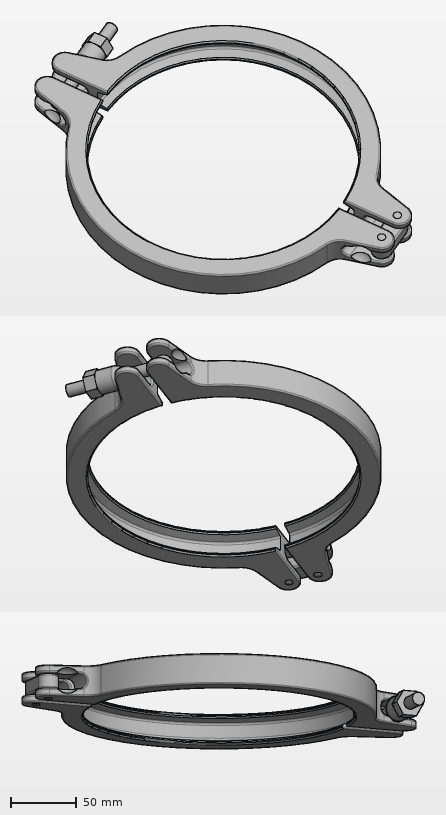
import cadquery as cq
import math


height = 24.0
outer_radius = 120.5
bore_radius = 104.0
gap = 7.5
gap_face_y = gap / 2
edge_round = 1.2

groove_radius = 113.0
groove_mouth_half_height = 9.0
groove_floor_half_height = 6.5
groove_floor_round = 2.0

lug_tip_x = 157.0
lug_tip_radius = 9.6
lug_slope = math.radians(15)
lug_root_radius = 15.0
slot_height = 11.8
slot_end_x = 121.8
slot_edge_round = 1.5
cut_reach = 60.0

bolt_x = 137.1
rod_radius = 5.0
rod_end_y = 67.8
ball_radius = 8.0
nut_across_flats = 19.0
nut_far_y = 50.7
nut_near_y = 41.1
sleeve_radius = 9.6
nose_center_y = 27.7
nose_tip_y = 21.5
seat_radius = 10.3
nut_turn = 30

pin_x = 146.6
pin_y = 12.1
pin_radius = 3.2
pin_dome_height = 0.65
link_radius = 8.1
link_edge_round = 1.5

ball_center_y = -pin_y
seat_center_y = nose_center_y + seat_radius - sleeve_radius


def lug_outline():
    """Outline of the +X lug, with its root buried in the ring."""
    tip_center_x = lug_tip_x - lug_tip_radius
    tip_center_y = gap_face_y + lug_tip_radius
    slope_start_x = tip_center_x + lug_tip_radius * math.sin(lug_slope)
    slope_start_y = tip_center_y + lug_tip_radius * math.cos(lug_slope)
    root_x = groove_radius
    root_y = slope_start_y + (slope_start_x - root_x) * math.tan(lug_slope)
    return (
        cq.Workplane("XY")
        .moveTo(root_x, gap_face_y)
        .lineTo(tip_center_x, gap_face_y)
        .threePointArc((lug_tip_x, tip_center_y), (slope_start_x, slope_start_y))
        .lineTo(root_x, root_y)
        .close()
    )


def groove():
    """Ring-shaped cutter for the inner groove."""
    wall_slope = (groove_mouth_half_height - groove_floor_half_height) / (groove_radius - bore_radius)
    start_radius = bore_radius - edge_round
    start_half_height = groove_mouth_half_height + edge_round * wall_slope
    cutter = (
        cq.Workplane("XZ")
        .moveTo(start_radius, start_half_height)
        .lineTo(groove_radius, groove_floor_half_height)
        .lineTo(groove_radius, -groove_floor_half_height)
        .lineTo(start_radius, -start_half_height)
        .close()
        .revolve(360, (0, 0, 0), (0, 1, 0))
    )
    return cutter.edges(cq.selectors.RadiusNthSelector(-1)).fillet(groove_floor_round)


def half_plate():
    """Half ring with both lugs, its outline edges and groove lips rounded."""
    disc = cq.Workplane("XY").circle(outer_radius).extrude(height / 2, both=True)
    upper_side = cq.Workplane("XY").box(2 * lug_tip_x, lug_tip_x, height, centered=(True, False, True))
    plate = disc.intersect(upper_side.translate((0, gap_face_y, 0)))
    lug = lug_outline().extrude(height / 2, both=True)
    plate = plate.union(lug).union(lug.mirror("YZ"))
    root_zone = cq.selectors.BoxSelector(
        (-outer_radius, gap_face_y + lug_tip_radius, -height),
        (outer_radius, outer_radius / 2, height),
    )
    plate = plate.edges("|Z").edges(root_zone).fillet(lug_root_radius)
    plate = plate.cut(cq.Workplane("XY").circle(bore_radius).extrude(height / 2, both=True))
    plate = plate.cut(groove())
    plate = plate.faces("<Z or >Z").edges().fillet(edge_round)
    lip_reach = groove_mouth_half_height + edge_round / 2
    lip_zone = cq.selectors.BoxSelector((-bore_radius, 0, -lip_reach), (bore_radius, bore_radius, lip_reach))
    lips = plate.edges("%CIRCLE").edges(lip_zone).edges(cq.selectors.RadiusNthSelector(0))
    return lips.fillet(edge_round)


def lug_slot():
    """Cutter for the slot between the two cheeks of the +X lug, with a round end."""
    half_slot = slot_height / 2
    round_center_x = slot_end_x + half_slot
    open_end_x = lug_tip_x + half_slot
    return (
        cq.Workplane("XZ")
        .moveTo(open_end_x, half_slot)
        .lineTo(round_center_x, half_slot)
        .threePointArc((slot_end_x, 0), (round_center_x, -half_slot))
        .lineTo(open_end_x, -half_slot)
        .close()
        .extrude(-cut_reach)
    )


def nut_seat():
    """Cutter for the round seat in the sloped side of the +X lug, with a ball-shaped floor."""
    bore = cq.Workplane("XZ").circle(seat_radius).extrude(-cut_reach)
    seat = bore.union(cq.Workplane("XY").sphere(seat_radius))
    return seat.translate((bolt_x, seat_center_y, 0))


def clamp_half():
    """The +Y half, before any holes for the bolt or the hinge."""
    half = half_plate()
    slot = lug_slot()
    seat = nut_seat()
    half = half.cut(slot).cut(slot.mirror("YZ"))
    edge_reach = slot_height / 2 + edge_round / 2
    for near_x, far_x in ((slot_end_x, lug_tip_x), (-lug_tip_x, -slot_end_x)):
        slot_zone = cq.selectors.BoxSelector(
            (near_x - edge_round, 0, -edge_reach), (far_x + edge_round, outer_radius, edge_reach)
        )
        half = half.edges("not(|Y or |Z)").edges(slot_zone).fillet(slot_edge_round)
    return half.cut(seat).cut(seat.mirror("YZ"))


def hinge_pin():
    """Pin through both cheeks of a lug, with a shallow dome on each end."""
    half_length = height / 2
    dome_top = half_length + pin_dome_height
    dome_radius = (pin_radius**2 + pin_dome_height**2) / (2 * pin_dome_height)
    mid_r = pin_radius / 2
    mid_z = dome_top - dome_radius + math.sqrt(dome_radius**2 - mid_r**2)
    return (
        cq.Workplane("XZ")
        .moveTo(0, dome_top)
        .threePointArc((mid_r, mid_z), (pin_radius, half_length))
        .lineTo(pin_radius, -half_length)
        .threePointArc((mid_r, -mid_z), (0, -dome_top))
        .close()
        .revolve(360, (0, 0, 0), (0, 1, 0))
    )


def hinge_link():
    """Rounded link bar that fills the slots of both hinge lugs, with its two pins."""
    bar_length = 2 * (pin_y + link_radius)
    link = cq.Workplane("XY").slot2D(bar_length, 2 * link_radius, 90).extrude(slot_height / 2, both=True)
    link = link.faces("<Z or >Z").edges().fillet(link_edge_round)
    pin = hinge_pin()
    for y in (-pin_y, pin_y):
        link = link.union(pin.translate((0, y, 0)))
    return link.translate((pin_x, 0, 0))


def along_y(start_y):
    """XZ workplane at start_y; a negative extrusion runs toward +Y."""
    return cq.Workplane("XZ", origin=(0, start_y, 0))


def closing_bolt():
    """Bolt with a ball end in the -Y half and a sleeved nut seated in the +Y half."""
    rod = along_y(ball_center_y).circle(rod_radius).extrude(ball_center_y - rod_end_y)
    ball = cq.Workplane("XY").sphere(ball_radius).translate((0, ball_center_y, 0))
    hexagon = along_y(nut_near_y).polygon(6, nut_across_flats, circumscribed=True)
    nut = hexagon.extrude(nut_near_y - nut_far_y)
    nut = nut.rotate((0, 0, 0), (0, 1, 0), nut_turn)
    sleeve = along_y(nose_center_y).circle(sleeve_radius).extrude(nose_center_y - nut_near_y)
    nose_zone = along_y(nose_tip_y).circle(sleeve_radius).extrude(nose_tip_y - nose_center_y)
    nose = cq.Workplane("XY").sphere(sleeve_radius).translate((0, nose_center_y, 0)).intersect(nose_zone)
    bolt = rod.union(ball).union(nut).union(sleeve).union(nose)
    return bolt.translate((-bolt_x, 0, 0))


link = hinge_link()
bolt = closing_bolt()
casting = clamp_half()

swing_half = casting.cut(link)
hinge_half = casting.mirror("XZ").union(link).cut(bolt)

result = cq.Compound.makeCompound([swing_half.val(), hinge_half.val(), bolt.val()])